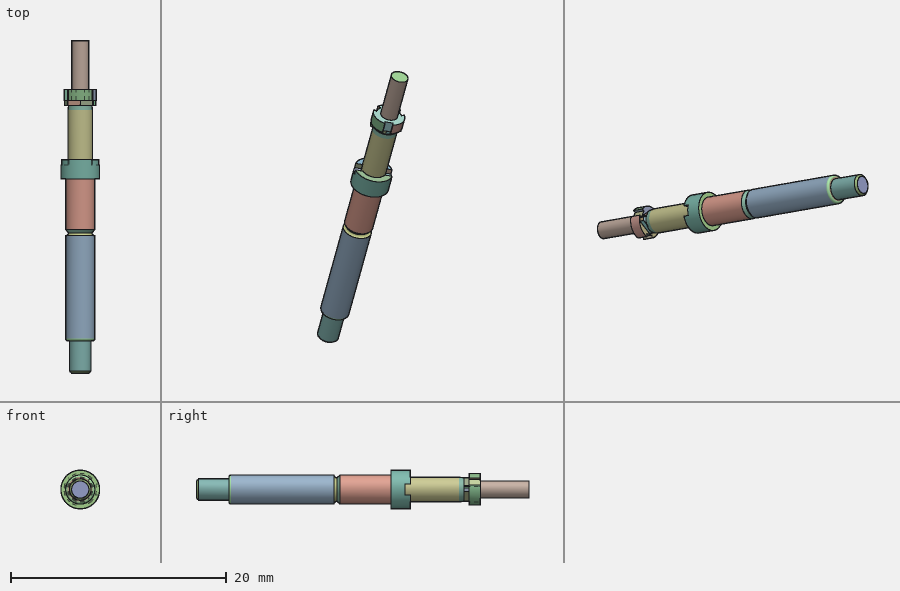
import cadquery as cq
import math


WIRE_PIN_END = 12.8
COLLAR_TOP = 8.3
COLLAR_STEP = 7.25
COLLAR_BASE = 6.8
NECK_BASE = 6.35
FLANGE_TOP = 1.8
GROOVE_FLOOR = -5.0
BODY_END = -15.0
TIP_END = -18.0

WIRE_PIN_RADIUS = 0.8
COLLAR_RADIUS = 1.5
WEDGE_RADIUS = 1.45
NECK_RADIUS = 1.1
BARREL_RADIUS = 1.15
FLANGE_RADIUS = 1.8
BODY_RADIUS = 1.35
TIP_RADIUS = 1.0

GROOVE_DEPTH = 0.25
GROOVE_BEVEL_LENGTH = 0.3
BODY_FILLET = 0.2
TIP_CHAMFER = 0.2

NOTCH_ANGLES = (30, 150, 270)
NOTCH_WIDTH = 0.75
NOTCH_FLOOR = 1.17
WEDGE_TILT = 33
WEDGE_FLAT_ANGLES = (90 - WEDGE_TILT, 90 + WEDGE_TILT, 270 - WEDGE_TILT, 270 + WEDGE_TILT)
WEDGE_RIDGE = 1.1
WEDGE_FLAT_DISTANCE = WEDGE_RIDGE * math.cos(math.radians(WEDGE_TILT))

SLOT_WIDTH = 1.0
SLOT_DEPTH = 0.5

CUT_SIZE = 2 * COLLAR_RADIUS


def turned_body():
    """Revolve the stepped profile, given as (position along Y, radius) points, about Y."""
    groove_radius = BODY_RADIUS - GROOVE_DEPTH
    groove_arc_shift = GROOVE_DEPTH * math.sqrt(0.5)
    groove_arc_rise = GROOVE_DEPTH - groove_arc_shift
    fillet_inset = BODY_FILLET * (1 - math.sqrt(0.5))
    return (
        cq.Workplane("YZ")
        .moveTo(WIRE_PIN_END, 0)
        .lineTo(WIRE_PIN_END, WIRE_PIN_RADIUS)
        .lineTo(COLLAR_TOP, WIRE_PIN_RADIUS)
        .lineTo(COLLAR_TOP, COLLAR_RADIUS)
        .lineTo(COLLAR_STEP, COLLAR_RADIUS)
        .lineTo(COLLAR_STEP, WEDGE_RADIUS)
        .lineTo(COLLAR_BASE, WEDGE_RADIUS)
        .lineTo(COLLAR_BASE, NECK_RADIUS)
        .lineTo(NECK_BASE, BARREL_RADIUS)
        .lineTo(FLANGE_TOP, BARREL_RADIUS)
        .lineTo(FLANGE_TOP, FLANGE_RADIUS)
        .lineTo(0, FLANGE_RADIUS)
        .lineTo(0, BODY_RADIUS)
        .lineTo(GROOVE_FLOOR + GROOVE_BEVEL_LENGTH, BODY_RADIUS)
        .lineTo(GROOVE_FLOOR, groove_radius)
        .threePointArc(
            (GROOVE_FLOOR - groove_arc_shift, groove_radius + groove_arc_rise),
            (GROOVE_FLOOR - GROOVE_DEPTH, BODY_RADIUS),
        )
        .lineTo(BODY_END + BODY_FILLET, BODY_RADIUS)
        .threePointArc(
            (BODY_END + fillet_inset, BODY_RADIUS - fillet_inset),
            (BODY_END, BODY_RADIUS - BODY_FILLET),
        )
        .lineTo(BODY_END, TIP_RADIUS)
        .lineTo(TIP_END + TIP_CHAMFER, TIP_RADIUS)
        .lineTo(TIP_END, TIP_RADIUS - TIP_CHAMFER)
        .lineTo(TIP_END, 0)
        .close()
        .revolve(360, (0, 0, 0), (1, 0, 0))
    )


def flat_cutter(angle, distance, width, y_low, y_high):
    """Box whose inner face is a flat at the given distance from Y, facing the given angle in XZ."""
    box = cq.Workplane("XY").box(CUT_SIZE, y_high - y_low, width)
    box = box.translate((distance + CUT_SIZE / 2, (y_low + y_high) / 2, 0))
    return box.rotate((0, 0, 0), (0, 1, 0), -angle)


def cut_collar(part):
    """Notch the collar into three tabs and trim its lower part with flats meeting in ridges at +Z and -Z."""
    for angle in NOTCH_ANGLES:
        part = part.cut(flat_cutter(angle, NOTCH_FLOOR, NOTCH_WIDTH, COLLAR_BASE, COLLAR_TOP))
    for angle in WEDGE_FLAT_ANGLES:
        part = part.cut(flat_cutter(angle, WEDGE_FLAT_DISTANCE, CUT_SIZE, COLLAR_BASE, COLLAR_STEP))
    return part


def cut_flange_slot(part):
    """Cut the cross slot into the flange on both sides, leaving the barrel whole."""
    slot_base = FLANGE_TOP - SLOT_DEPTH
    slot = cq.Workplane("XY").box(2 * FLANGE_RADIUS, SLOT_DEPTH, SLOT_WIDTH)
    slot = slot.translate((0, slot_base + SLOT_DEPTH / 2, 0))
    barrel = cq.Workplane("XZ", origin=(0, slot_base, 0)).circle(BARREL_RADIUS).extrude(-SLOT_DEPTH)
    return part.cut(slot.cut(barrel))


result = cut_flange_slot(cut_collar(turned_body()))